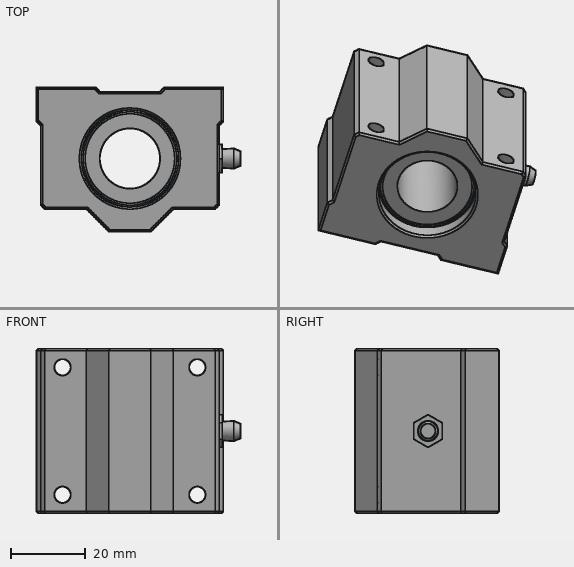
import cadquery as cq
import math


TOTAL_LENGTH = 54.55
HOUSING_WIDTH = 49.95
HOUSING_HEIGHT = 44.0
BASE_Y = 19.0
BOSS_Y = -19.5
SHOULDER_Y = -13.5
BOSS_HALF_FLAT = 5.6
SIDE_STEP = 1.15
FLANGE_EDGE_Y = 9.9
CORNER_CHAMFER = 1.1
RELIEF_HALF_WIDTH = 9.1
RELIEF_DEPTH = 1.2
END_CHAMFER = 0.55

MOUNT_HOLE_DIAMETER = 4.3
MOUNT_SPACING_X = 36.0
MOUNT_SPACING_Z = 34.05

BEARING_DIAMETER = 25.95
BEARING_BORE = 16.05
BEARING_INSET = 4.0
BEARING_CHAMFER = 0.5
BEARING_RECESS_DIAMETER = 23.9
BEARING_RECESS_DEPTH = 0.4

HEX_ACROSS_FLATS = 7.6
HEX_THICKNESS = 0.8
NIPPLE_ROOT_RADIUS = 2.55
NIPPLE_HEAD_RADIUS = 2.7
NIPPLE_TIP_RADIUS = 1.95
NIPPLE_TIP_LENGTH = 1.85

HALF_WIDTH = HOUSING_WIDTH / 2
SIDE_X = HALF_WIDTH - SIDE_STEP


def make_housing():
    boss_root = BOSS_HALF_FLAT + (SHOULDER_Y - BOSS_Y)
    right_half = [
        (BOSS_HALF_FLAT, BOSS_Y),
        (boss_root, SHOULDER_Y),
        (SIDE_X - CORNER_CHAMFER, SHOULDER_Y),
        (SIDE_X, SHOULDER_Y + CORNER_CHAMFER),
        (SIDE_X, FLANGE_EDGE_Y - SIDE_STEP),
        (HALF_WIDTH, FLANGE_EDGE_Y),
        (HALF_WIDTH, BASE_Y),
        (RELIEF_HALF_WIDTH, BASE_Y),
        (RELIEF_HALF_WIDTH - RELIEF_DEPTH, BASE_Y - RELIEF_DEPTH),
    ]
    left_half = [(-x, y) for x, y in reversed(right_half)]
    block = (
        cq.Workplane("XY")
        .polyline(right_half + left_half)
        .close()
        .extrude(HOUSING_HEIGHT / 2, both=True)
    )

    bore = cq.Workplane("XY").circle(BEARING_DIAMETER / 2).extrude(HOUSING_HEIGHT / 2, both=True)
    block = block.cut(bore).faces("<Z or >Z").chamfer(END_CHAMFER)

    mount_holes = (
        cq.Workplane("XZ", origin=(0, BASE_Y, 0))
        .rarray(MOUNT_SPACING_X, MOUNT_SPACING_Z, 2, 2)
        .circle(MOUNT_HOLE_DIAMETER / 2)
        .extrude(BASE_Y - BOSS_Y)
    )
    return block.cut(mount_holes)


def make_bearing():
    length = HOUSING_HEIGHT - 2 * BEARING_INSET
    sleeve = (
        cq.Workplane("XY")
        .circle(BEARING_DIAMETER / 2)
        .extrude(length / 2, both=True)
        .faces("<Z or >Z")
        .chamfer(BEARING_CHAMFER)
    )
    for end_z in (-length / 2, length / 2):
        recess = (
            cq.Workplane("XY", origin=(0, 0, end_z))
            .circle(BEARING_RECESS_DIAMETER / 2)
            .extrude(BEARING_RECESS_DEPTH, both=True)
        )
        sleeve = sleeve.cut(recess)
    bore = cq.Workplane("XY").circle(BEARING_BORE / 2).extrude(length / 2, both=True)
    return sleeve.cut(bore)


def make_nipple():
    hex_end_x = SIDE_X + HEX_THICKNESS
    tip_x = TOTAL_LENGTH - HALF_WIDTH
    head_x = tip_x - NIPPLE_TIP_LENGTH

    across_corners = HEX_ACROSS_FLATS / math.cos(math.pi / 6)
    hexagon = (
        cq.Workplane("YZ", origin=(SIDE_X, 0, 0))
        .transformed(rotate=(0, 0, 90))
        .polygon(6, across_corners)
        .extrude(HEX_THICKNESS)
    )
    stem = (
        cq.Workplane("XZ")
        .polyline([
            (SIDE_X, 0),
            (SIDE_X, NIPPLE_ROOT_RADIUS),
            (hex_end_x, NIPPLE_ROOT_RADIUS),
            (head_x, NIPPLE_HEAD_RADIUS),
            (tip_x, NIPPLE_TIP_RADIUS),
            (tip_x, 0),
        ])
        .close()
        .revolve(360, (0, 0, 0), (1, 0, 0))
    )
    return hexagon.union(stem)


housing = make_housing()
bearing = make_bearing()
nipple = make_nipple()

result = cq.Compound.makeCompound([housing.val(), bearing.val(), nipple.val()])